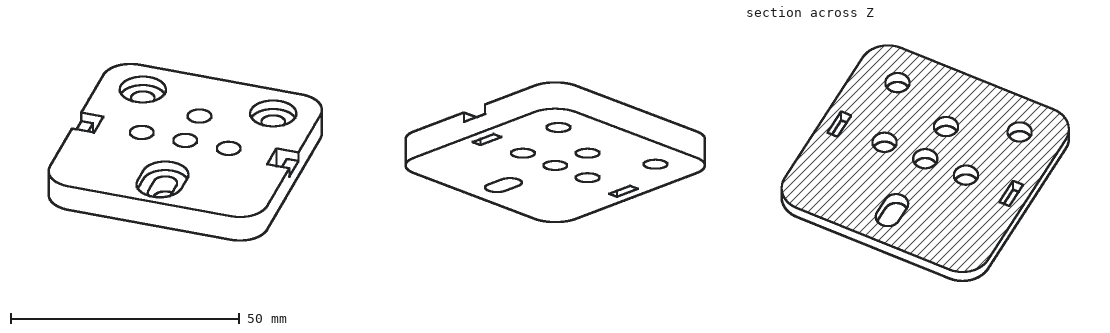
import cadquery as cq

side = 50.0
thickness = 6.25
corner_radius = 6.3

hole_diameter = 5.2
recess_diameter = 10.1
recess_depth = 2.25
hole_pitch = 10.0
mount_x = 15.0
mount_y = 16.0
slot_travel = 4.0

notch_width = 6.5
notch_reach = 5.1
notch_depth = 2.25
window_length = 2.4


def make_plate():
    """Square plate resting on Z = 0 with rounded vertical corners."""
    plate = cq.Workplane("XY").box(side, side, thickness, centered=(True, True, False))
    return plate.edges("|Z").fillet(corner_radius)


def top_cutter(x, y, depth):
    """Start a cutter sketch centred at (x, y), at the given depth below the top face."""
    return cq.Workplane("XY", origin=(x, y, thickness - depth))


def round_cutter(x, y, diameter, depth):
    return top_cutter(x, y, depth).circle(diameter / 2).extrude(depth)


def slot_cutter(x, y, width, depth):
    """Obround along Y whose end-arc centres are slot_travel apart."""
    return top_cutter(x, y, depth).slot2D(slot_travel + width, width, 90).extrude(depth)


def cut_plain_holes(body):
    for x, y in [(0, 0), (-hole_pitch, 0), (hole_pitch, 0), (0, hole_pitch)]:
        body = body.cut(round_cutter(x, y, hole_diameter, thickness))
    return body


def cut_mounting_holes(body):
    """Two counterbored round holes and one counterbored slot."""
    for x in (-mount_x, mount_x):
        body = body.cut(round_cutter(x, mount_y, hole_diameter, thickness))
        body = body.cut(round_cutter(x, mount_y, recess_diameter, recess_depth))
    body = body.cut(slot_cutter(0, -mount_y, hole_diameter, thickness))
    return body.cut(slot_cutter(0, -mount_y, recess_diameter, recess_depth))


def cut_strap_passages(body):
    """Shallow edge notches, each with a through window at its inner end."""
    notch_x = side / 2 - notch_reach / 2
    window_x = side / 2 - notch_reach + window_length / 2
    for sign in (-1, 1):
        notch = top_cutter(sign * notch_x, 0, notch_depth).rect(notch_reach, notch_width)
        window = top_cutter(sign * window_x, 0, thickness).rect(window_length, notch_width)
        body = body.cut(notch.extrude(notch_depth)).cut(window.extrude(thickness))
    return body


result = make_plate()
result = cut_plain_holes(result)
result = cut_mounting_holes(result)
result = cut_strap_passages(result)